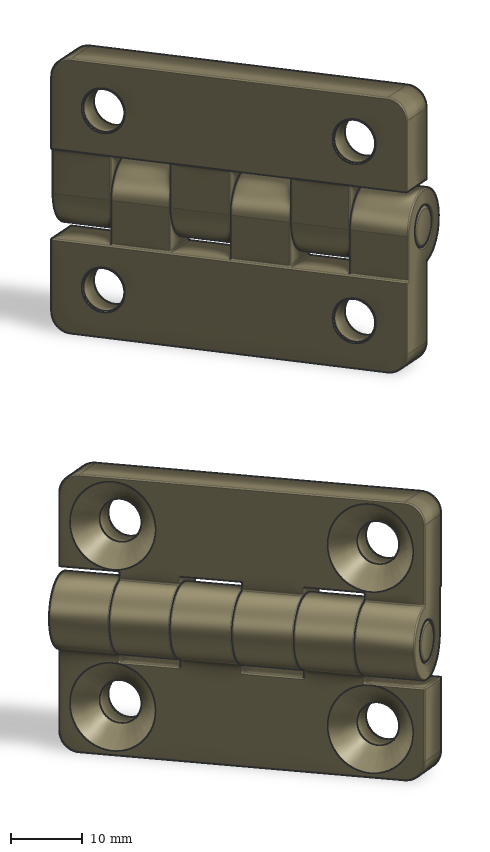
import cadquery as cq
hinge_length = 54.0
hinge_height = 40.0
edge_radius = 0.2
tolerance = 0.005

plate_thickness = 7.2
plate_gap = 12.95
plate_bottom = plate_gap / 2
plate_height = hinge_height / 2 - plate_bottom
plate_corner_radius = 3.0

screw_hole_diameter = 6.15
screw_hole_spacing_x = 38.0
screw_hole_z = 13.0
countersink_depth = 3.25

knuckle_radius = 5.5
knuckle_setback = 0.5
inner_joint = 9.1
outer_joint = 18.1
upper_knuckle_spans = [
    (-hinge_length / 2, -outer_joint),
    (-inner_joint, 0),
    (inner_joint, outer_joint),
]

pin_y = knuckle_setback + knuckle_radius
pin_diameter = 6.1
pin_end_radius = 0.5


def x_cylinder(radius, start, end):
    """Cylinder around the pin axis between two X positions."""
    return cq.Workplane("YZ", origin=(start, pin_y, 0)).circle(radius).extrude(end - start)


def make_plate():
    """Upper plate; the two corners away from the pin are round."""
    return (
        cq.Workplane("XY", origin=(0, 0, plate_bottom))
        .box(hinge_length, plate_thickness, plate_height, centered=(True, False, False))
        .edges("|Y and >Z")
        .fillet(plate_corner_radius)
    )


def make_knuckle(start, end):
    """Barrel around the pin with a straight arm up to the plate."""
    arm = cq.Workplane("XY", origin=(start, knuckle_setback, 0)).box(
        end - start, plate_thickness - knuckle_setback, plate_bottom, centered=False
    )
    return x_cylinder(knuckle_radius, start, end).union(arm)


def is_smooth(edge):
    """True where two faces already run into each other without a corner."""
    center = edge.Center()
    at_barrel_tangent = abs(center.z) < tolerance and abs(center.y - knuckle_setback) < tolerance
    along_y = abs(edge.endPoint().y - edge.startPoint().y) > plate_thickness - tolerance
    beside_round_corner = along_y and center.z > plate_bottom + tolerance
    return at_barrel_tangent or beside_round_corner


def cut_screw_holes(leaf):
    """Countersunk screw holes with a rounded front rim."""
    radius = screw_hole_diameter / 2
    sink_start = plate_thickness - countersink_depth
    rim_radius = radius + edge_radius
    sink_radius = radius + countersink_depth
    for x in (-screw_hole_spacing_x / 2, screw_hole_spacing_x / 2):
        hole = (
            cq.Workplane("XY", origin=(x, 0, screw_hole_z))
            .lineTo(rim_radius, 0)
            .radiusArc((radius, edge_radius), -edge_radius)
            .lineTo(radius, sink_start)
            .lineTo(sink_radius, plate_thickness)
            .lineTo(0, plate_thickness)
            .close()
            .revolve(360, (0, 0, 0), (0, 1, 0))
        )
        leaf = leaf.cut(hole)
    return leaf


def make_leaf():
    """Upper leaf: plate and three knuckles, with pin bore and screw holes."""
    leaf = make_plate()
    for start, end in upper_knuckle_spans:
        leaf = leaf.union(make_knuckle(start, end))
    leaf = leaf.cut(x_cylinder(pin_diameter / 2, -hinge_length / 2, hinge_length / 2))
    sharp_edges = [edge for edge in leaf.edges().vals() if not is_smooth(edge)]
    leaf = leaf.newObject(sharp_edges).fillet(edge_radius)
    return cut_screw_holes(leaf)


def make_pin():
    """Pin through all knuckles, flush with the ends of the hinge and rounded at both ends."""
    pin = x_cylinder(pin_diameter / 2, -hinge_length / 2, hinge_length / 2)
    return pin.faces("<X or >X").edges().fillet(pin_end_radius)


upper_leaf = make_leaf()
lower_leaf = upper_leaf.rotate((0, 0, 0), (0, 1, 0), 180)
pin = make_pin()

result = cq.Compound.makeCompound([*upper_leaf.solids().vals(), *lower_leaf.solids().vals(), pin.val()])